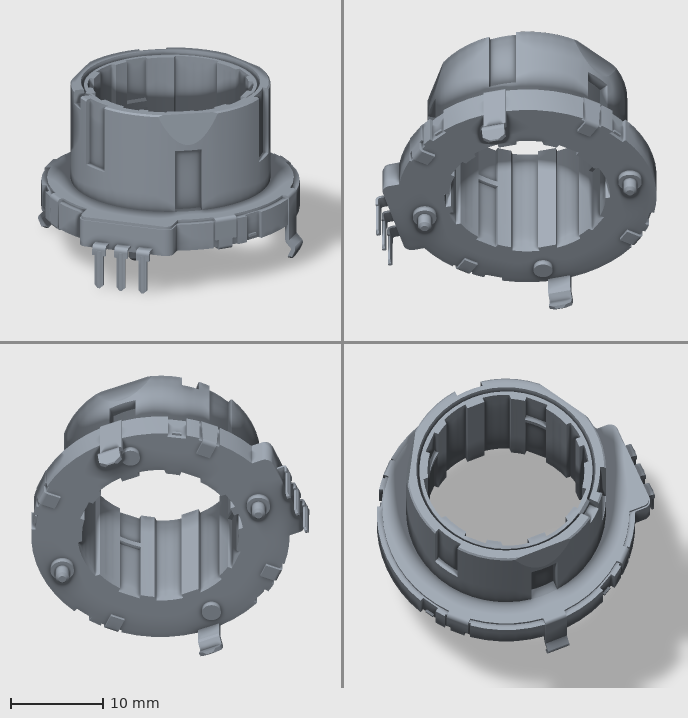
import cadquery as cq

overall_width = 29.5
overall_length = 30.2
overlap = 0.3
base_r = 13.98
base_top = 3.0
cover_r = 13.35
cover_top = 3.32
sheet = 0.33
cover_bed = 0.05
cover_bottom = base_top - cover_bed

tower_r = 10.8
tower_top = 14.38
tower_chamfer = 0.18
bore_r = 8.97
rim_r = 9.7
rim_gap_depth = 1.8
sleeve_r = 9.35
sleeve_drop = 0.35
sleeve_top = tower_top - sleeve_drop

block_half = 5.35
block_y = -14.98
block_corner = 0.9
block_inset = 0.15

land_r = 8.5
land_x = 2.48
land_y = 3.8
key_reach = 8.4
side_key_width = 2.0
front_key_width = 1.03
land_pocket_width = 2.45
land_pocket_flat = 8.88
band_top = 9.35
band_edge = 9.12
band_bottom = 8.45

facet_angles = (60, 180, 300)
panel_angles = (0, 120, 240)
facet_foot = 10.95
facet_top_distance = 10.27
opening_width = 3.02
slot_top = 10.33
slot_floor_r = 9.7
slot_bottom = 3.23
panel_floor_r = 10.18
panel_bottom = 6.92
notch_angle = 220
notch_width = 1.95
notch_bottom = 12.87
tab_root = 9.12
tab_face = 9.65
tab_bevel_bottom = 13.62

recess_angles = (60, 120, 210, 330)
recess_width = 2.02
recess_r = 13.5
latch_width = 1.0
latch_reach = 13.77
latch_bottom = 0.42
latch_top = 0.7

corner_angles = (45, 135, 225, 315)
narrow_clip_angles = (45, 225)
wide_clip_angles = (135, 315)
clip_face = 13.98
narrow_clip_width = 1.93
wide_clip_width = 2.48
clip_foot_width = 1.57
clip_clearance = 0.25
wide_clip_step = 0.88
clip_foot_inner = 12.05
clip_fold = 0.42

leg_width = 2.48
leg_face = 14.05
leg_sheet = 0.45
leg_straight_end = -1.75
leg_knee_x = overall_width / 2
leg_knee_z = -2.75
leg_tip_z = -4.15
leg_tip_x = 14.05
leg_tip_outer = (14.2, -4.05)
leg_tip_inner = (13.75, -3.95)
leg_bend_inner = (13.68, -2.08)
leg_knee_rise = 0.05
leg_knee_half = 0.27
leg_tip_flat = 0.8
leg_tip_slope = 0.48

peg_y = 11.48
peg_flange_r = 1.27
peg_r = 0.72
peg_end = -2.1
peg_chamfer = 0.3
standoff_depth = 0.63
standoff_x = 11.48
standoff_y = -1.25
standoff_r = 1.03

terminal_pitch = 2.5
terminal_width = 1.5
terminal_sheet = 0.27
terminal_top = 0.72
terminal_bend = 0.48
terminal_plate_y = -16.13
terminal_plate_end = -0.42
pin_y = base_r - overall_length
pin_width = 0.97
pin_rib_width = 0.57
pin_tip_z = leg_tip_z
pin_tip_chamfer = 0.33
pin_top = 0.12


def disc(radius, bottom, top):
    """Round disc on the Z axis."""
    return cq.Workplane("XY").workplane(offset=bottom).circle(radius).extrude(top - bottom)


def block(x0, x1, width, z0, z1):
    """Box from x0 to x1, centred across the X axis."""
    box = cq.Workplane("XY").box(x1 - x0, width, z1 - z0, centered=(False, True, False))
    return box.translate((x0, 0, z0))


def turned(shape, angle):
    """Shape turned about the Z axis by an angle in degrees."""
    return shape.rotate((0, 0, 0), (0, 0, 1), angle)


def connector_block(half_width, front_y, corner, bottom, top):
    return (
        cq.Workplane("XY").workplane(offset=bottom)
        .center(0, front_y / 2).rect(2 * half_width, -front_y).extrude(top - bottom)
        .edges("|Z and <Y").fillet(corner)
    )


def base_ring():
    ring = disc(base_r, 0, base_top).union(connector_block(block_half, block_y, block_corner, 0, base_top))
    recess = block(recess_r, base_r + overlap, recess_width, 0, base_top)
    latch = block(recess_r - overlap, latch_reach, latch_width, latch_bottom, latch_top)
    for angle in recess_angles:
        ring = ring.cut(turned(recess, angle)).union(turned(latch, angle))
    for width, angles in ((narrow_clip_width, narrow_clip_angles), (wide_clip_width, wide_clip_angles)):
        pocket = block(clip_face - sheet, base_r + overlap, width + 2 * clip_clearance, 0, base_top)
        for angle in angles:
            ring = ring.cut(turned(pocket, angle))
    return ring


def cover():
    tongue = connector_block(block_half - block_inset, block_y + block_inset,
                             block_corner - block_inset, cover_bottom, cover_top)
    return disc(cover_r, cover_bottom, cover_top).union(tongue).cut(disc(tower_r, cover_bottom, cover_top))


def cover_clip(top_width, shoulder_bottom, shoulder_top):
    """Clip on the +X side: folded down from the cover, narrowed to its foot, folded in below the base."""
    top_half = top_width / 2
    foot_half = clip_foot_width / 2
    half_outline = [(foot_half, -sheet), (foot_half, shoulder_bottom),
                    (top_half, shoulder_top), (top_half, cover_top)]
    face = (
        cq.Workplane("YZ").workplane(offset=clip_face - sheet)
        .polyline(half_outline + [(-y, z) for y, z in reversed(half_outline)])
        .close().extrude(sheet)
    )
    bridge = block(cover_r - overlap, clip_face, top_width, base_top, cover_top)
    foot = block(clip_foot_inner, clip_face, clip_foot_width, -sheet, 0)
    return face.union(bridge).union(foot).edges("|Y and >X").edges(">Z or <Z").fillet(clip_fold)


def spring_leg():
    """Leg on the +X side: straight strip, outward knee, inward tip with a pointed end."""
    inner_face = leg_face - leg_sheet
    side = (
        cq.Workplane("XZ").workplane(offset=-leg_width / 2)
        .moveTo(cover_r - overlap, cover_top)
        .lineTo(leg_face - sheet, cover_top)
        .radiusArc((leg_face, cover_top - sheet), sheet)
        .lineTo(leg_face, leg_straight_end)
        .lineTo(leg_knee_x - leg_knee_rise, leg_knee_z + leg_knee_half)
        .threePointArc((leg_knee_x, leg_knee_z), (leg_knee_x - leg_knee_rise, leg_knee_z - leg_knee_half))
        .lineTo(*leg_tip_outer)
        .lineTo(leg_tip_x, leg_tip_z)
        .lineTo(*leg_tip_inner)
        .lineTo(leg_knee_x - leg_sheet, leg_knee_z)
        .lineTo(*leg_bend_inner)
        .lineTo(inner_face, leg_straight_end)
        .lineTo(inner_face, base_top)
        .lineTo(cover_r - overlap, base_top)
        .close().extrude(leg_width)
    )
    half = leg_width / 2
    tip_half = leg_tip_flat / 2
    outline = (
        cq.Workplane("YZ")
        .polyline([(-tip_half, leg_tip_z), (tip_half, leg_tip_z), (half, leg_tip_z + leg_tip_slope),
                   (half, cover_top), (-half, cover_top), (-half, leg_tip_z + leg_tip_slope)])
        .close().extrude(leg_knee_x)
    )
    return side.intersect(outline)


def housing_opening():
    """Space inside the outer wall of the tower, widening near the top towards the rim."""
    taper_bottom = tower_top - rim_gap_depth
    taper = (
        cq.Workplane("XY").workplane(offset=taper_bottom).circle(sleeve_r)
        .workplane(offset=rim_gap_depth).circle(rim_r).loft(ruled=True)
    )
    return disc(sleeve_r, 0, taper_bottom).union(taper)


def notch_tab():
    """Bevelled tab of the sleeve that closes the inner side of the rim notch."""
    return (
        cq.Workplane("XZ").workplane(offset=-notch_width / 2)
        .polyline([(tab_root, notch_bottom), (tab_face, notch_bottom), (tab_face, tab_bevel_bottom),
                   (sleeve_r, sleeve_top), (tab_root, sleeve_top)])
        .close().extrude(notch_width)
    )


def tower():
    body = disc(tower_r, 0, tower_top).faces(">Z").edges().chamfer(tower_chamfer)
    facet = (
        cq.Workplane("XZ").workplane(offset=-tower_r)
        .polyline([(tower_r, facet_foot), (tower_r + overlap, facet_foot),
                   (tower_r + overlap, tower_top), (facet_top_distance, tower_top)])
        .close().extrude(2 * tower_r)
    )
    slot = block(0, tower_r + overlap, opening_width, slot_bottom, slot_top).cut(
        disc(slot_floor_r, slot_bottom, slot_top))
    panel = block(0, tower_r + overlap, opening_width, panel_bottom, tower_top).cut(
        disc(panel_floor_r, panel_bottom, tower_top))
    notch = block(0, tower_r + overlap, notch_width, notch_bottom, tower_top)
    for angle in facet_angles:
        body = body.cut(turned(facet, angle)).cut(turned(slot, angle))
    for angle in panel_angles:
        body = body.cut(turned(panel, angle))
    wall = body.cut(turned(notch, notch_angle)).cut(housing_opening())
    return wall.union(disc(sleeve_r, 0, sleeve_top)).union(turned(notch_tab(), notch_angle))


def bore():
    """Everything removed from the inside: through bore with lands and keys."""
    opening = disc(bore_r, -standoff_depth, tower_top)
    height = sleeve_top + standoff_depth
    for x_side in (-1, 1):
        for y_side in (-1, 1):
            corner = cq.Workplane("XY").box(bore_r, bore_r, height, centered=False)
            corner = corner.translate((land_x, land_y, -standoff_depth))
            corner = corner.cut(disc(land_r, -standoff_depth, sleeve_top))
            if x_side < 0:
                corner = corner.mirror("YZ")
            if y_side < 0:
                corner = corner.mirror("XZ")
            opening = opening.cut(corner)
    side_key = block(key_reach, bore_r + overlap, side_key_width, -standoff_depth, sleeve_top)
    front_key = block(key_reach, bore_r + overlap, front_key_width, -standoff_depth, sleeve_top)
    for key, angle in ((side_key, 0), (side_key, 180), (front_key, 270)):
        opening = opening.cut(turned(key, angle))

    inner = land_r - overlap
    pocket = (
        cq.Workplane("XZ").workplane(offset=-land_pocket_width / 2)
        .polyline([(inner, sleeve_top), (land_pocket_flat, sleeve_top), (land_pocket_flat, band_top),
                   (land_r, band_edge), (inner, band_edge)])
        .close().extrude(land_pocket_width)
        .union(block(inner, land_pocket_flat, land_pocket_width, -standoff_depth, band_bottom))
    )
    for angle in corner_angles:
        opening = opening.union(turned(pocket, angle))
    return opening


def peg():
    flange = disc(peg_flange_r, -standoff_depth, 0)
    return flange.union(disc(peg_r, peg_end, 0).faces("<Z").edges().chamfer(peg_chamfer))


def terminal():
    """Plate bent down in front of the block, carrying a ribbed pin with a bevelled tip."""
    back_y = terminal_plate_y + terminal_sheet
    bend_y = terminal_plate_y + terminal_bend
    bend_z = terminal_top - terminal_bend
    under_z = terminal_top - terminal_sheet
    plate = (
        cq.Workplane("YZ").workplane(offset=-terminal_width / 2)
        .moveTo(block_y + overlap, terminal_top)
        .lineTo(bend_y, terminal_top)
        .radiusArc((terminal_plate_y, bend_z), -terminal_bend)
        .lineTo(terminal_plate_y, terminal_plate_end)
        .lineTo(back_y, terminal_plate_end)
        .lineTo(back_y, bend_z)
        .radiusArc((bend_y, under_z), terminal_bend - terminal_sheet)
        .lineTo(block_y + overlap, under_z)
        .close().extrude(terminal_width)
    )
    edge = pin_width / 2
    rib = pin_rib_width / 2
    pin = (
        cq.Workplane("XY").workplane(offset=pin_tip_z)
        .moveTo(-edge, back_y).lineTo(-edge, terminal_plate_y).lineTo(-rib, terminal_plate_y)
        .threePointArc((0, pin_y), (rib, terminal_plate_y))
        .lineTo(edge, terminal_plate_y).lineTo(edge, back_y)
        .close().extrude(pin_top - pin_tip_z)
    )
    tip_edge = edge - pin_tip_chamfer
    tip_start = pin_tip_z + pin_tip_chamfer
    tip = (
        cq.Workplane("XZ").workplane(offset=-back_y)
        .polyline([(-edge, pin_top), (-edge, tip_start), (-tip_edge, pin_tip_z),
                   (tip_edge, pin_tip_z), (edge, tip_start), (edge, pin_top)])
        .close().extrude(back_y - pin_y)
    )
    return plate.union(pin.intersect(tip))


result = base_ring().union(cover()).union(tower())
for angle in narrow_clip_angles:
    result = result.union(turned(cover_clip(narrow_clip_width, 0, base_top), angle))
for angle in wide_clip_angles:
    result = result.union(turned(cover_clip(wide_clip_width, wide_clip_step, wide_clip_step), angle))
for angle in (0, 180):
    result = result.union(turned(spring_leg(), angle))
for y_side in (-1, 1):
    result = result.union(peg().translate((0, y_side * peg_y, 0)))
for x_side in (-1, 1):
    standoff = disc(standoff_r, -standoff_depth, 0)
    result = result.union(standoff.translate((x_side * standoff_x, standoff_y, 0)))
for step in (-1, 0, 1):
    result = result.union(terminal().translate((step * terminal_pitch, 0, 0)))
result = result.cut(bore())